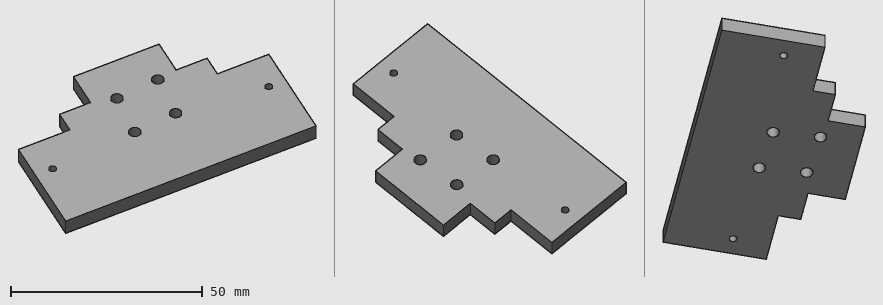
import cadquery as cq

length = 73.0
width = 43.4
thickness = 5.0

tab_length = 25.0
shoulder_length = 43.0
tab_depth = 9.9
shoulder_depth = 6.0

end_hole_diameter = 2.0
end_hole_spacing = 63.0
end_hole_from_tab = 25.85

pattern_hole_diameter = 3.2
pattern_pitch = 12.4
pattern_center_from_tab = 17.45
pattern_skew = 1.0

tab_x = -width / 2


def step_block(start_x, block_length):
    """Centred block running from start_x to the straight +X edge."""
    block_width = width / 2 - start_x
    return cq.Workplane("XY").box(
        block_width, block_length, thickness, centered=(False, True, True)
    ).translate((start_x, 0, 0))


shoulder_x = tab_x + tab_depth
body_x = shoulder_x + shoulder_depth
plate = step_block(tab_x, tab_length)
plate = plate.union(step_block(shoulder_x, shoulder_length))
plate = plate.union(step_block(body_x, length)).clean()

end_holes = (
    cq.Workplane("XY")
    .center(tab_x + end_hole_from_tab, 0)
    .rarray(0.7, end_hole_spacing, 1, 2)
    .circle(end_hole_diameter / 2)
    .extrude(thickness, both=True)
)

pattern_points = [
    ((side * pattern_pitch - row * pattern_skew) / 2, (row * pattern_pitch - side * pattern_skew) / 2)
    for side in (-1, 1)
    for row in (-1, 1)
]
pattern_holes = (
    cq.Workplane("XY")
    .center(tab_x + pattern_center_from_tab, 0)
    .pushPoints(pattern_points)
    .circle(pattern_hole_diameter / 2)
    .extrude(thickness, both=True)
)

result = plate.cut(end_holes).cut(pattern_holes)